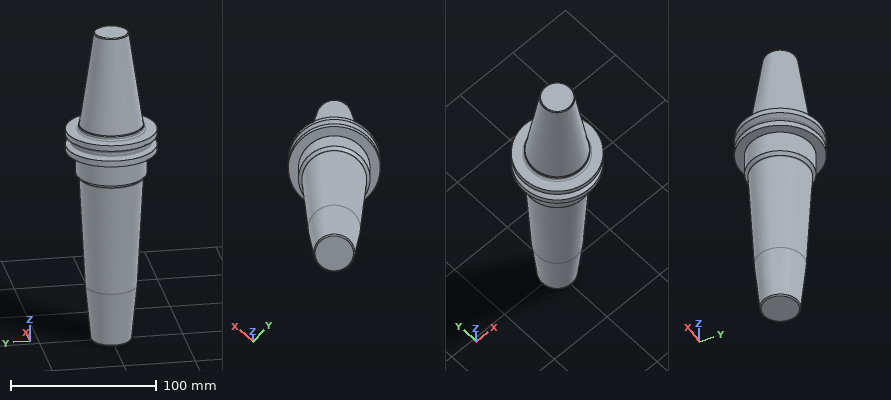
import cadquery as cq

total_length = 228.5
taper_length = 68.3
gauge_z = total_length - taper_length
flange_top_z = gauge_z - 3.5
flange_bottom_z = gauge_z - 19.2

taper_ratio = 7 / 24
gauge_radius = 22.2
tip_radius = gauge_radius - taper_length * taper_ratio / 2
tip_chamfer = 0.7

neck_radius = 22.5
neck_bevel_height = 0.7
neck_fillet = 1.1

flange_radius = 31.7
groove_root_radius = 27.9
groove_center_z = gauge_z - 11.2
groove_root_half = 1.4
groove_mouth_half = 3.7
groove_root_fillet = 0.7

collar_radius = 24.7
collar_bottom_z = 123.8
collar_chamfer = 2.3
body_top_radius = collar_radius - collar_chamfer
chamfer_bottom_z = collar_bottom_z - collar_chamfer
body_land = 0.7
body_joint_radius = 18.0
body_joint_z = 40.5
nose_radius = 14.2
nose_chamfer = 1.0


def revolve_about_z(outline):
    """Turn a closed XZ outline a full revolution about the Z axis."""
    return outline.close().revolve(360, (0, 0, 0), (0, 1, 0))


def turned_body():
    outline = (
        cq.Workplane("XZ")
        .lineTo(nose_radius - nose_chamfer, 0)
        .lineTo(nose_radius, nose_chamfer)
        .lineTo(body_joint_radius, body_joint_z)
        .lineTo(body_top_radius, chamfer_bottom_z - body_land)
        .lineTo(body_top_radius, chamfer_bottom_z)
        .lineTo(collar_radius, collar_bottom_z)
        .lineTo(collar_radius, flange_bottom_z)
        .lineTo(flange_radius, flange_bottom_z)
        .lineTo(flange_radius, flange_top_z)
        .lineTo(neck_radius + neck_fillet, flange_top_z)
        .radiusArc((neck_radius, flange_top_z + neck_fillet), neck_fillet)
        .lineTo(neck_radius, gauge_z - neck_bevel_height)
        .lineTo(gauge_radius, gauge_z)
        .lineTo(tip_radius, total_length - tip_chamfer)
        .lineTo(tip_radius - tip_chamfer, total_length)
        .lineTo(0, total_length)
    )
    return revolve_about_z(outline)


def flange_groove():
    """Ring-shaped cutter with a V section and rounded root corners."""
    outline = (
        cq.Workplane("XZ")
        .moveTo(groove_root_radius, groove_center_z - groove_root_half)
        .lineTo(flange_radius, groove_center_z - groove_mouth_half)
        .lineTo(flange_radius, groove_center_z + groove_mouth_half)
        .lineTo(groove_root_radius, groove_center_z + groove_root_half)
    )
    root_edges = cq.selectors.RadiusNthSelector(0)
    return revolve_about_z(outline).edges(root_edges).fillet(groove_root_fillet)


result = turned_body().cut(flange_groove())